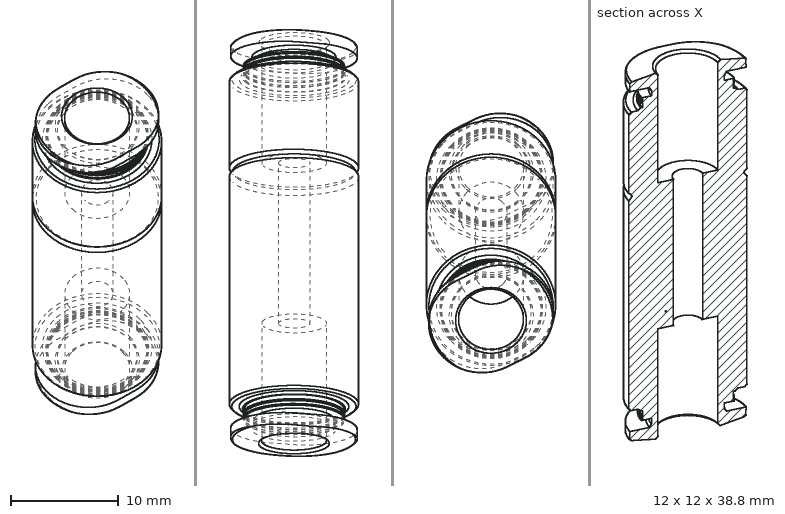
import cadquery as cq

length = 38.8
middle = length / 2

body_radius = 12.0 / 2
body_end = 3.57
end_chamfer = 0.25
groove_z = 26.3
groove_radius = 5.65
groove_rise = 0.35
groove_fall = 0.45

flare_radius = 5.1
ledge_radius = 4.77
collar_radius = 4.6
collar_end = 2.3
flare_height = 0.25
ridge_radius = 9.4 / 2
ridge_height = 0.15
ridge_pitch = 0.45
ridge_count = 2

neck_radius = 7.4 / 2
neck_flare = 0.2
neck_flare_height = 0.35
button_thickness = 1.45
button_half_length = 5.9
button_half_width = 4.9
crown_radius = 5.7
crown_drop = 0.4
tip_drop = 0.55

tube_radius = 6.0 / 2
tube_depth = 11.65
mouth_chamfer = 0.27
mouth_radius = tube_radius + mouth_chamfer
through_diameter = 2.9


def revolve(points):
    """Turn a (radius, z) outline about the Z axis."""
    return cq.Workplane("XZ").polyline(points).close().revolve(360, (0, 0), (0, 1))


def make_body():
    shoulder = body_radius - end_chamfer
    return revolve([
        (0, body_end),
        (shoulder, body_end),
        (body_radius, body_end + end_chamfer),
        (body_radius, groove_z - groove_fall),
        (groove_radius, groove_z),
        (body_radius, groove_z + groove_rise),
        (body_radius, length - body_end - end_chamfer),
        (shoulder, length - body_end),
        (0, length - body_end),
    ])


def make_collar():
    """Neck and ridged collar at the upper end."""
    body_top = length - body_end
    collar_top = length - collar_end
    button_bottom = length - button_thickness
    collar = revolve([
        (0, body_top),
        (flare_radius, body_top),
        (ledge_radius, body_top + flare_height),
        (collar_radius, body_top + flare_height),
        (collar_radius, collar_top),
        (neck_radius, collar_top),
        (neck_radius, button_bottom - neck_flare_height),
        (neck_radius + neck_flare, button_bottom),
        (0, button_bottom),
    ])
    for index in range(ridge_count):
        ridge_bottom = collar_top - ridge_height - index * ridge_pitch
        ridge = cq.Workplane("XY", origin=(0, 0, ridge_bottom)).circle(ridge_radius).extrude(ridge_height)
        collar = collar.union(ridge)
    return collar


def make_button():
    """Flat-sided oval button with a conical end face, at the upper end."""
    bottom = length - button_thickness
    disc = revolve([
        (0, bottom),
        (button_half_length, bottom),
        (button_half_length, length - tip_drop),
        (crown_radius, length - crown_drop),
        (mouth_radius, length),
        (0, length),
    ])
    oval = (
        cq.Workplane("XY", origin=(0, 0, bottom))
        .slot2D(2 * button_half_length, 2 * button_half_width, 90)
        .extrude(button_thickness)
    )
    return disc.intersect(oval)


def make_tube_bore():
    """Tube bore with a chamfered mouth, at the upper end."""
    return revolve([
        (0, length - tube_depth),
        (tube_radius, length - tube_depth),
        (tube_radius, length - mouth_chamfer),
        (mouth_radius, length),
        (0, length),
    ])


def at_both_ends(shape):
    return shape.union(shape.mirror("XY", (0, 0, middle)))


result = make_body().union(at_both_ends(make_collar().union(make_button())))
result = result.cut(at_both_ends(make_tube_bore()))
result = result.cut(cq.Workplane("XY").circle(through_diameter / 2).extrude(length))